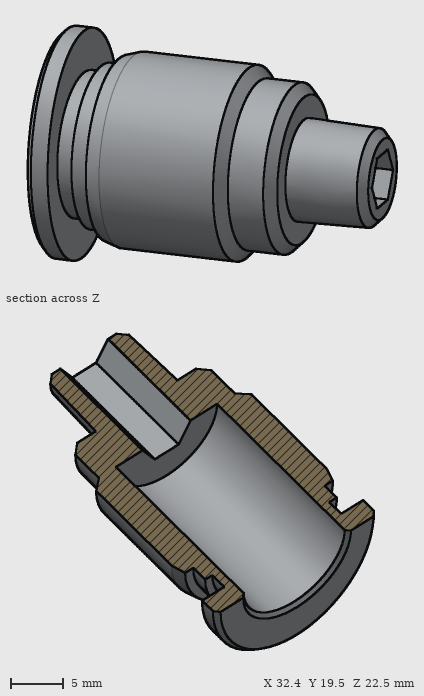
import cadquery as cq
import math


flange_width = 19.5
flange_height = 22.5
flange_thickness = 2.2
flange_chamfer = 0.52

neck_radius = 7.1
neck_end = 3.95
collar_radius = 7.97
collar_end = 5.77

body_radius = 9.4
lead_in_radius = 8.95
lead_in_length = 1.5
body_end = 18.75
shoulder_end = 19.83

rear_radius = 8.23
rear_end = 24.43
rear_chamfer = 1.05

spigot_root_radius = 4.95
spigot_tip_radius = 4.75
spigot_chamfer = 0.85
overall_length = 32.4

bore_radius = 6.1
bore_mouth_chamfer = 0.42
bore_depth = shoulder_end
hex_across_flats = 5.0


def make_flange():
    """Elliptical plate with its outer front edge chamfered."""
    plate = (
        cq.Workplane("YZ")
        .ellipse(flange_width / 2, flange_height / 2)
        .extrude(flange_thickness)
    )
    return plate.faces("<X").edges().chamfer(flange_chamfer)


def revolve_about_x(profile):
    """Solid of revolution from (x, radius) points, turned about the X axis."""
    return cq.Workplane("XY").polyline(profile).close().revolve(360, (0, 0, 0), (1, 0, 0))


def make_turned_body():
    """Everything behind the flange, revolved about the X axis."""
    profile = [
        (flange_thickness, 0),
        (flange_thickness, neck_radius),
        (neck_end, neck_radius),
        (neck_end, collar_radius),
        (collar_end, collar_radius),
        (collar_end, lead_in_radius),
        (collar_end + lead_in_length, body_radius),
        (body_end, body_radius),
        (shoulder_end, rear_radius),
        (rear_end - rear_chamfer, rear_radius),
        (rear_end, rear_radius - rear_chamfer),
        (rear_end, spigot_root_radius),
        (overall_length - spigot_chamfer, spigot_tip_radius),
        (overall_length, spigot_tip_radius - spigot_chamfer),
        (overall_length, 0),
    ]
    return revolve_about_x(profile)


def make_tube_bore():
    """Blind bore with a 45 degree chamfer at its mouth."""
    profile = [
        (0, 0),
        (0, bore_radius + bore_mouth_chamfer),
        (bore_mouth_chamfer, bore_radius),
        (bore_depth, bore_radius),
        (bore_depth, 0),
    ]
    return revolve_about_x(profile)


def make_hex_passage():
    """Hexagon through the whole length, with flats facing up and down."""
    across_corners = hex_across_flats / math.cos(math.pi / 6)
    return cq.Workplane("YZ").polygon(6, across_corners).extrude(overall_length)


result = make_flange().union(make_turned_body()).cut(make_tube_bore()).cut(make_hex_passage())